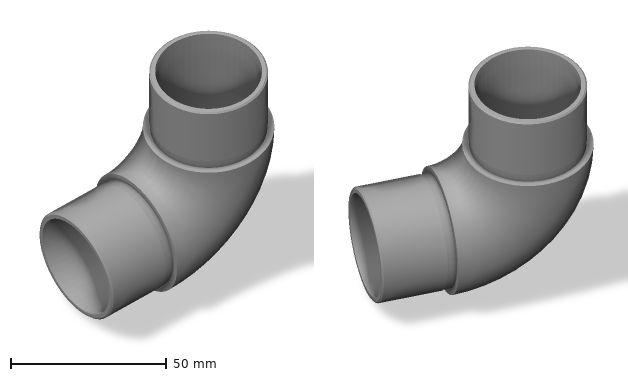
import cadquery as cq

overall_size = 76.0
body_diameter = 42.4
spigot_diameter = 38.3
neck_diameter = 37.9
bore_diameter = 34.4
spigot_length = 25.0
neck_length = 3.0
rim_chamfer = 0.5

body_radius = body_diameter / 2
bend_radius = overall_size - spigot_length - body_radius

upper_end = cq.Plane(origin=(0, bend_radius, 0), xDir=(1, 0, 0), normal=(0, 0, 1))
front_end = cq.Plane(origin=(0, 0, -bend_radius), xDir=(1, 0, 0), normal=(0, -1, 0))
ends = (upper_end, front_end)


def quarter_bend(diameter):
    """Solid quarter of a round torus joining the two end planes."""
    axis_start = (0, -bend_radius, 0)
    axis_end = (-1, -bend_radius, 0)
    return cq.Workplane(upper_end).circle(diameter / 2).revolve(90, axis_start, axis_end)


def spigot(end):
    """Solid plug-in end: a slightly thinner neck, then a cylinder with a chamfered rim."""
    neck = cq.Workplane(end).circle(neck_diameter / 2).extrude(neck_length)
    sleeve = (
        cq.Workplane(end)
        .workplane(offset=neck_length)
        .circle(spigot_diameter / 2)
        .extrude(spigot_length - neck_length)
        .faces(cq.selectors.DirectionMinMaxSelector(end.zDir, True))
        .chamfer(rim_chamfer)
    )
    return neck.union(sleeve)


def straight_bore(end):
    """Cylinder of the bore running through one spigot."""
    return cq.Workplane(end).circle(bore_diameter / 2).extrude(spigot_length)


outside = quarter_bend(body_diameter)
passage = quarter_bend(bore_diameter)
for end in ends:
    outside = outside.union(spigot(end))
    passage = passage.union(straight_bore(end))

elbow = outside.cut(passage)

outer_bend_radius = bend_radius + body_radius
centre_offset = (outer_bend_radius - spigot_length) / 2
result = elbow.translate((0, -centre_offset, centre_offset))